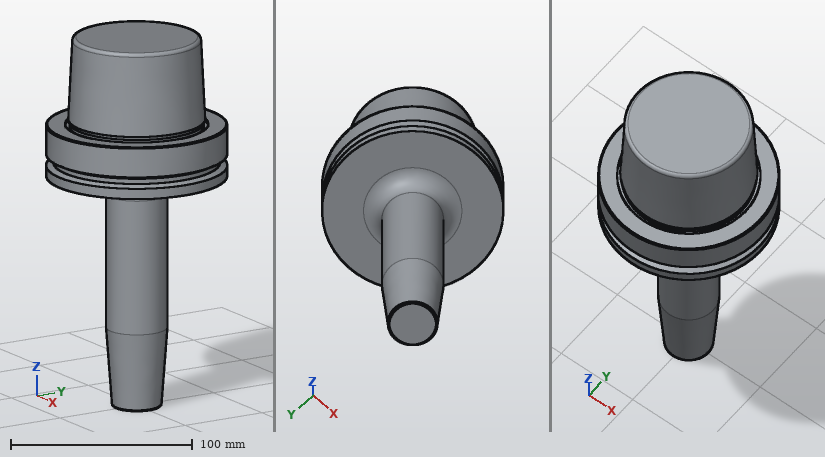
import cadquery as cq

total_height = 210.0
flange_top = 160.4
flange_thickness = 29.4
flange_bottom = flange_top - flange_thickness

flange_radius = 50.0
flange_edge_chamfer = 0.6
groove_floor_radius = 46.0
groove_upper_edge = 143.4
groove_upper_floor = 141.5
groove_lower_floor = 138.5
groove_lower_edge = 136.9

taper_base_radius = 37.8
taper_top_radius = 35.5
taper_top_rounding = 2.0
taper_base = flange_top + 2.7

relief_neck_radius = 37.2
relief_outer_radius = 39.5
relief_depth = 1.3
relief_neck_height = 0.8

shank_radius = 17.0
shank_fillet = 10.0
nose_height = 44.7
tip_radius = 13.6
tip_chamfer = 0.8


def make_flange():
    """Disc with a chamfered top edge and a groove around its rim."""
    profile = (
        cq.Workplane("XZ")
        .moveTo(0, flange_bottom)
        .lineTo(flange_radius, flange_bottom)
        .lineTo(flange_radius, groove_lower_edge)
        .lineTo(groove_floor_radius, groove_lower_floor)
        .lineTo(groove_floor_radius, groove_upper_floor)
        .lineTo(flange_radius, groove_upper_edge)
        .lineTo(flange_radius, flange_top)
        .lineTo(0, flange_top)
        .close()
    )
    disc = profile.revolve(360, (0, 0, 0), (0, 1, 0))
    disc = disc.faces(">Z").edges().chamfer(flange_edge_chamfer)
    recess = (
        cq.Workplane("XY", origin=(0, 0, flange_top - relief_depth))
        .circle(relief_outer_radius)
        .circle(relief_neck_radius)
        .extrude(relief_depth)
    )
    return disc.cut(recess)


def make_taper():
    """Rounded cone standing on a slightly narrower neck."""
    cone = (
        cq.Workplane("XZ")
        .moveTo(0, flange_top)
        .lineTo(relief_neck_radius, flange_top)
        .lineTo(relief_neck_radius, flange_top + relief_neck_height)
        .lineTo(taper_base_radius, taper_base)
        .lineTo(taper_top_radius, total_height)
        .lineTo(0, total_height)
        .close()
        .revolve(360, (0, 0, 0), (0, 1, 0))
    )
    return cone.faces(">Z").edges().fillet(taper_top_rounding)


def make_shank():
    """Cylinder flaring into the flange and narrowing to a chamfered nose."""
    shank = (
        cq.Workplane("XZ")
        .lineTo(tip_radius, 0)
        .lineTo(shank_radius, nose_height)
        .lineTo(shank_radius, flange_bottom - shank_fillet)
        .radiusArc((shank_radius + shank_fillet, flange_bottom), shank_fillet)
        .lineTo(0, flange_bottom)
        .close()
        .revolve(360, (0, 0, 0), (0, 1, 0))
    )
    return shank.faces("<Z").edges().chamfer(tip_chamfer)


result = make_flange().union(make_taper()).union(make_shank())